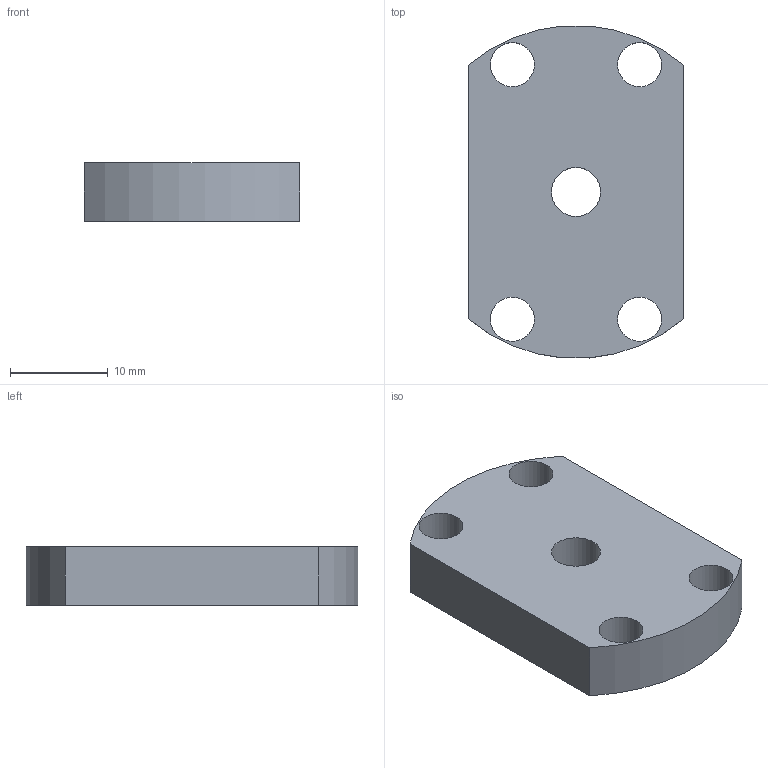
import cadquery as cq

disc_diameter = 34.0
width_across_flats = 22.0
thickness = 6.0
center_hole_diameter = 5.0
corner_hole_diameter = 4.5
corner_hole_spacing_x = 13.0
corner_hole_spacing_y = 26.0


def make_plate():
    """Round disc trimmed by two parallel flats facing -X and +X."""
    disc = cq.Workplane("XY").circle(disc_diameter / 2).extrude(thickness)
    band = (
        cq.Workplane("XY")
        .rect(width_across_flats, disc_diameter)
        .extrude(thickness)
    )
    return disc.intersect(band)


def cut_center_hole(plate):
    """Through hole on the plate axis."""
    return plate.faces(">Z").workplane(origin=(0, 0, thickness)).hole(center_hole_diameter)


def cut_corner_holes(plate):
    """Four through holes in a rectangular pattern about the plate axis."""
    return (
        plate.faces(">Z")
        .workplane(origin=(0, 0, thickness))
        .rect(corner_hole_spacing_x, corner_hole_spacing_y, forConstruction=True)
        .vertices()
        .hole(corner_hole_diameter)
    )


result = cut_corner_holes(cut_center_hole(make_plate()))